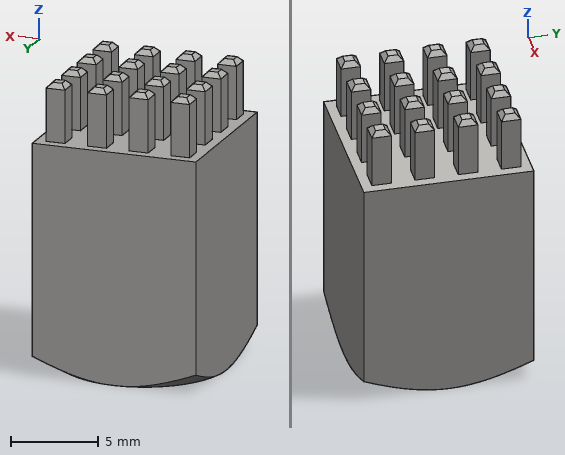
import math

import cadquery as cq

body_side = 10.0
body_height = 14.0
corner_cone_angle = 30.0

pins_per_row = 4
pin_pitch = 2.54
pin_side = 1.15
pin_height = 3.5
tip_height = 0.3
tip_side = 0.58


def make_body():
    """Square block intersected with a round blank that has a conical lower end."""
    flat_radius = body_side / 2
    blank_radius = body_side
    cone_height = (blank_radius - flat_radius) * math.tan(math.radians(corner_cone_angle))
    blank = (
        cq.Workplane("XZ")
        .moveTo(0, 0)
        .lineTo(flat_radius, 0)
        .lineTo(blank_radius, cone_height)
        .lineTo(blank_radius, body_height)
        .lineTo(0, body_height)
        .close()
        .revolve(360, (0, 0, 0), (0, 1, 0))
    )
    block = cq.Workplane("XY").box(body_side, body_side, body_height, centered=(True, True, False))
    return block.intersect(blank)


def make_pin():
    """One post standing on the top of the body, ending in a truncated pyramid."""
    shank_height = pin_height - tip_height
    shank = cq.Workplane("XY", origin=(0, 0, body_height)).rect(pin_side, pin_side).extrude(shank_height)
    tip = (
        cq.Workplane("XY", origin=(0, 0, body_height + shank_height))
        .rect(pin_side, pin_side)
        .workplane(offset=tip_height)
        .rect(tip_side, tip_side)
        .loft(ruled=True)
    )
    return shank.union(tip)


def make_part():
    part = make_body()
    pin = make_pin()
    first_pin = -pin_pitch * (pins_per_row - 1) / 2
    for column in range(pins_per_row):
        for row in range(pins_per_row):
            x = first_pin + column * pin_pitch
            y = first_pin + row * pin_pitch
            part = part.union(pin.translate((x, y, 0)))
    return part


result = make_part()